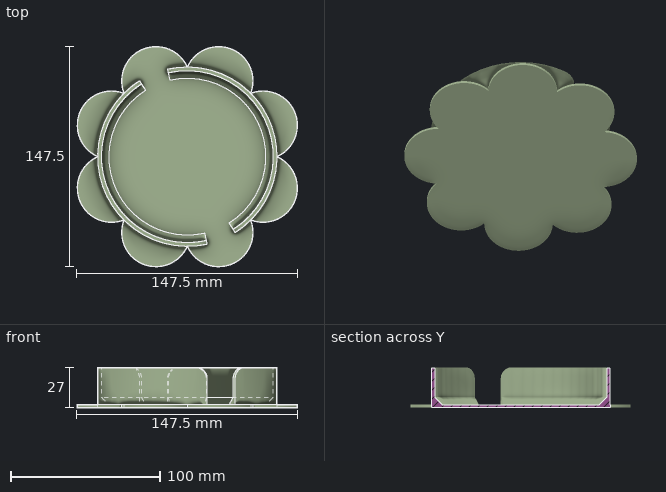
import cadquery as cq
import math

overall_width = 147.5
overall_height = 27.0
plate_thickness = 2.0
petal_count = 8
petal_radius = 23.0
petal_pitch = 360 / petal_count
half_pitch = petal_pitch / 2
petal_ring_radius = (overall_width / 2 - petal_radius) / math.cos(math.radians(half_pitch))

wall_outer_radius = 60.0
wall_thickness = 2.5
foot_size = 5.0
wall_inner_radius = wall_outer_radius - wall_thickness
foot_inner_radius = wall_inner_radius - foot_size

opening_angle = 19.4
opening_direction = 90 + half_pitch
end_rounding = 7.5
cutter_reach = overall_width


def make_plate():
    plate = cq.Workplane("XY").circle(petal_ring_radius).extrude(plate_thickness)
    petals = (
        cq.Workplane("XY")
        .polarArray(petal_ring_radius, half_pitch, 360, petal_count)
        .circle(petal_radius)
        .extrude(plate_thickness, combine=True)
    )
    return plate.union(petals)


def make_ring():
    profile = [
        (foot_inner_radius, plate_thickness),
        (wall_outer_radius, plate_thickness),
        (wall_outer_radius, overall_height),
        (wall_inner_radius, overall_height),
        (wall_inner_radius, plate_thickness + foot_size),
    ]
    return cq.Workplane("XZ").polyline(profile).close().revolve(360, (0, 0), (0, 1))


def make_opening(direction):
    half_width = cutter_reach * math.tan(math.radians(opening_angle / 2))
    wedge = (
        cq.Workplane("XY")
        .polyline([(0, 0), (cutter_reach, -half_width), (cutter_reach, half_width)])
        .close()
        .extrude(overall_height)
    )
    return wedge.rotate((0, 0, 0), (0, 0, 1), direction)


def make_wall():
    wall = make_ring()
    for direction in (opening_direction, opening_direction + 180):
        wall = wall.cut(make_opening(direction))
    return wall.faces(">Z").edges("%LINE").fillet(end_rounding)


result = make_plate().union(make_wall())